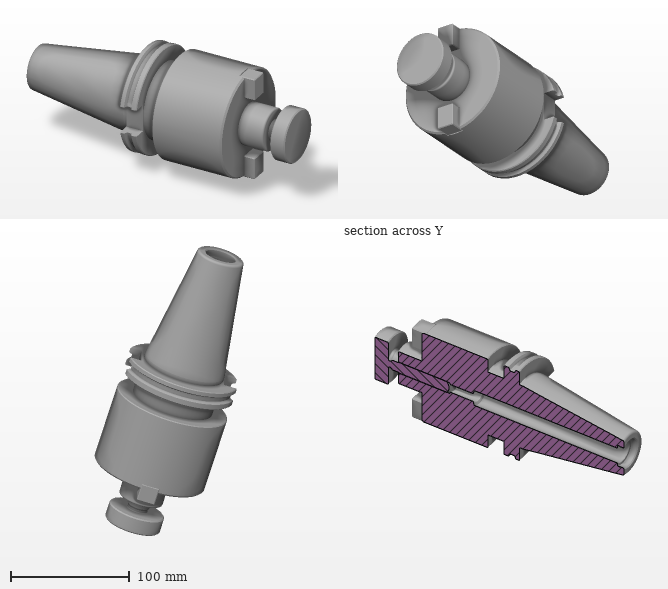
import cadquery as cq

taper_length = 101.8
taper_large_dia = 70.0
taper_ratio = 7 / 24
taper_small_dia = taper_large_dia - taper_length * taper_ratio
taper_end_round = 2.3

flange_dia = 97.2
flange_start = 105.0
flange_end = 121.0
flange_chamfer = 0.8
groove_center = 112.5
groove_bottom_dia = 91.2
groove_bottom_width = 4.0
groove_top_width = 7.0
slot_width = 25.0
front_slot_floor = 35.3
rear_slot_floor = 37.3

neck_dia = taper_large_dia
body_dia = 97.0
body_start = 136.8
body_end = 203.3
body_rear_chamfer = 0.8
body_front_chamfer = 1.5

pilot_dia = 38.0
pilot_end = 227.0
pilot_end_round = 1.5
undercut_dia = 37.5
undercut_length = 1.8

mouth_dia = 28.0
mouth_chamfer_depth = 1.0
pull_thread_dia = 26.3
pull_thread_end = 4.5
thread_relief_dia = 26.8
thread_relief_end = 6.8
bore_dia = 22.0
bore_end = 150.4
core_dia = 17.5
bore_cone_length = 1.3

thread_dia = 19.0
screw_tip = 175.5
tip_dia = 15.0
tip_chamfer = (thread_dia - tip_dia) / 2
thread_end = 232.8
relief_dia = 17.3
relief_cone_length = 1.5
relief_round = 0.8
head_dia = 48.0
head_start = 236.5
head_end = 250.5
head_chamfer = 1.0

key_width = 15.5
key_start = 198.2
key_length = 15.0
key_inner = 27.8
key_outer = 48.0
key_chamfer = 0.8
key_sides = (1, -1)


def revolve_profile(points):
    """Revolve (X, radius) points around the X axis."""
    return cq.Workplane("XY").polyline(points).close().revolve(360, (0, 0, 0), (1, 0, 0))


def chamfered_cylinder(dia, start, end, start_chamfer, end_chamfer):
    """Cylinder along X with its two rims chamfered."""
    radius = dia / 2
    return revolve_profile([
        (start, 0),
        (start, radius - start_chamfer),
        (start + start_chamfer, radius),
        (end - end_chamfer, radius),
        (end, radius - end_chamfer),
        (end, 0),
    ])


def cylinder(dia, start, end):
    """Plain cylinder along X."""
    return cq.Workplane("YZ").workplane(offset=start).circle(dia / 2).extrude(end - start)


def make_key_block(side, outer):
    """Block with the key's footprint, out to a given distance on the +Z (1) or -Z (-1) side."""
    height = outer - key_inner
    center_x = key_start + key_length / 2
    center_z = side * (key_inner + height / 2)
    return cq.Workplane("XY").box(key_length, key_width, height).translate((center_x, 0, center_z))


def make_taper():
    """Cone with a rounded small end."""
    taper = revolve_profile([
        (0, 0),
        (0, taper_small_dia / 2),
        (taper_length, taper_large_dia / 2),
        (taper_length, 0),
    ])
    return taper.faces("<X").edges().fillet(taper_end_round)


def make_flange():
    """Disc with a V groove round its rim and two driving slots of unequal depth."""
    flange = chamfered_cylinder(flange_dia, flange_start, flange_end, flange_chamfer, flange_chamfer)

    bottom_radius = groove_bottom_dia / 2
    half_bottom = groove_bottom_width / 2
    half_top = groove_top_width / 2
    groove = revolve_profile([
        (groove_center - half_bottom, bottom_radius),
        (groove_center - half_top, flange_dia / 2),
        (groove_center + half_top, flange_dia / 2),
        (groove_center + half_bottom, bottom_radius),
    ])
    flange = flange.cut(groove)

    flange_width = flange_end - flange_start
    flange_middle = (flange_start + flange_end) / 2
    for direction, floor in ((-1, front_slot_floor), (1, rear_slot_floor)):
        slot = cq.Workplane("XY").box(flange_width, flange_dia, slot_width)
        slot_y = direction * (floor + flange_dia / 2)
        flange = flange.cut(slot.translate((flange_middle, slot_y, 0)))
    return flange


def make_bore():
    """Stepped cavity: mouth, pull stud thread and relief, main bore, core hole, screw hole."""
    return revolve_profile([
        (0, 0),
        (0, mouth_dia / 2),
        (mouth_chamfer_depth, pull_thread_dia / 2),
        (pull_thread_end, pull_thread_dia / 2),
        (pull_thread_end, thread_relief_dia / 2),
        (thread_relief_end, thread_relief_dia / 2),
        (thread_relief_end, bore_dia / 2),
        (bore_end, bore_dia / 2),
        (bore_end + bore_cone_length, core_dia / 2),
        (screw_tip, core_dia / 2),
        (screw_tip, thread_dia / 2),
        (pilot_end, thread_dia / 2),
        (pilot_end, 0),
    ])


def make_holder():
    """Taper, flange, neck, body and pilot in one piece, bored and slotted for the keys."""
    undercut_end = body_end + undercut_length
    holder = (
        make_taper()
        .union(cylinder(neck_dia, taper_length, body_start))
        .union(make_flange())
        .union(chamfered_cylinder(body_dia, body_start, body_end, body_rear_chamfer, body_front_chamfer))
        .union(cylinder(undercut_dia, body_end, undercut_end))
        .union(cylinder(pilot_dia, undercut_end, pilot_end).faces(">X").edges().fillet(pilot_end_round))
        .cut(make_bore())
    )
    for side in key_sides:
        holder = holder.cut(make_key_block(side, body_dia / 2))
    return holder


def make_drive_key(side):
    """Rectangular key with all its edges chamfered."""
    return make_key_block(side, key_outer).edges().chamfer(key_chamfer)


def make_clamping_screw():
    """Shank with a chamfered tip and a relief under its chamfered round head."""
    relief_radius = relief_dia / 2
    shank = (
        cq.Workplane("XY")
        .moveTo(screw_tip, 0)
        .lineTo(screw_tip, tip_dia / 2)
        .lineTo(screw_tip + tip_chamfer, thread_dia / 2)
        .lineTo(thread_end, thread_dia / 2)
        .lineTo(thread_end + relief_cone_length, relief_radius)
        .lineTo(head_start - relief_round, relief_radius)
        .radiusArc((head_start, relief_radius + relief_round), -relief_round)
        .lineTo(head_start, 0)
        .close()
        .revolve(360, (0, 0, 0), (1, 0, 0))
    )
    head = chamfered_cylinder(head_dia, head_start, head_end, head_chamfer, head_chamfer)
    return shank.union(head)


holder = make_holder()
drive_keys = [make_drive_key(side) for side in key_sides]
clamping_screw = make_clamping_screw()

result = cq.Compound.makeCompound([
    holder.val(),
    *[key.val() for key in drive_keys],
    clamping_screw.val(),
])